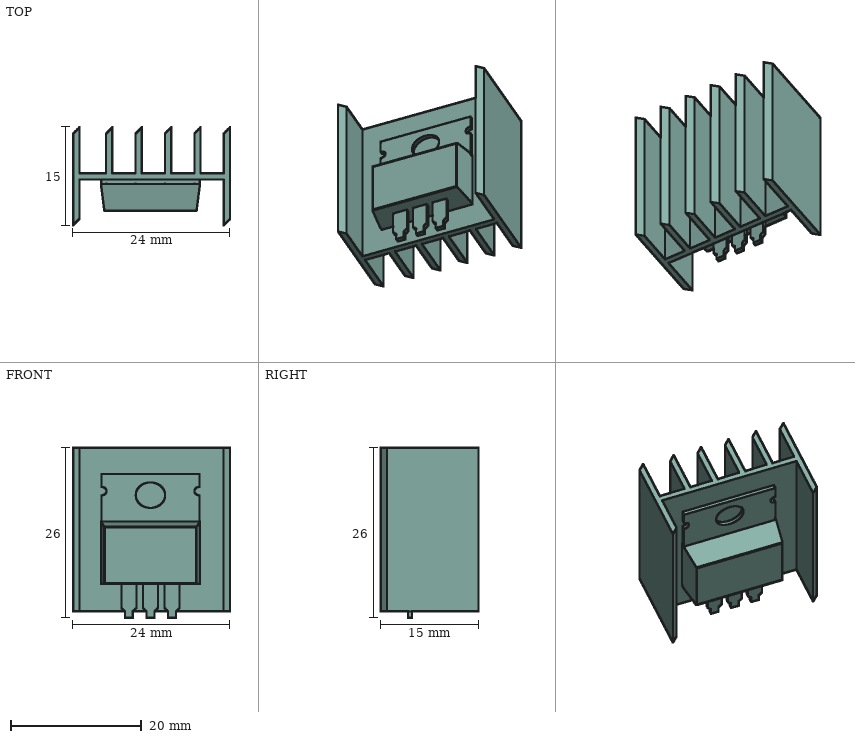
import cadquery as cq


SINK_WIDTH = 24.0
SINK_DEPTH = 15.0
TOTAL_HEIGHT = 26.0
LEAD_OVERHANG = 1.0
WALL = 1.0
FIN_PITCH = 4.5
INNER_FIN_COUNT = 4
PLATE_FRONT = -WALL / 2
PLATE_BACK = WALL / 2

CENTRE_X = -0.18
TAB_WIDTH = 15.0
TAB_THICKNESS = 0.65
TAB_TOP = 22.0
TAB_FRONT = PLATE_FRONT - TAB_THICKNESS
HOLE_WIDTH = 4.5
HOLE_HEIGHT = 3.9
HOLE_Z = 18.75
NOTCH_DEPTH = 0.78
NOTCH_HEIGHT = 1.3
NOTCH_Z = 19.37

BODY_BACK_WIDTH = 15.18
BODY_FRONT_WIDTH = 14.15
BODY_BACK_BOTTOM = 5.15
BODY_BACK_TOP = 14.7
BODY_FRONT_BOTTOM = 5.25
BODY_FRONT_TOP = 13.94
BODY_DEPTH = 4.8
PAD_STEP = 0.1
PAD_FRONT = PLATE_FRONT - BODY_DEPTH
BODY_FRONT = PAD_FRONT + PAD_STEP

LEAD_PITCH = 3.3
LEAD_COUNT = 3
LEAD_WIDTH = 2.3
LEAD_TIP_WIDTH = 1.25
LEAD_THICKNESS = 0.65
LEAD_GAP = 2.18
SHOULDER_HEIGHT = 0.52
LEAD_INSERTION = 1.3


def box(x_min, x_max, y_min, y_max, z_min, z_max):
    size = (x_max - x_min, y_max - y_min, z_max - z_min)
    return cq.Workplane("XY").box(*size, centered=False).translate((x_min, y_min, z_min))


def facing_plane(y):
    """Workplane at depth y, centred on the transistor, with local y along Z and normal toward -Y."""
    return cq.Workplane("XZ", origin=(CENTRE_X, y, 0))


def fin(left, front_left, back_right):
    """Full-height fin with 45 degree ends, its +X side shifted toward +Y."""
    right = left + WALL
    outline = [
        (left, front_left),
        (right, front_left + WALL),
        (right, back_right),
        (left, back_right - WALL),
    ]
    height = TOTAL_HEIGHT - LEAD_OVERHANG
    return cq.Workplane("XY", origin=(0, 0, LEAD_OVERHANG)).polyline(outline).close().extrude(height)


def heat_sink():
    left_fin = -SINK_WIDTH / 2
    right_fin = SINK_WIDTH / 2 - WALL
    front = -SINK_DEPTH / 2
    back = SINK_DEPTH / 2
    plate_left = left_fin + WALL / 2
    plate_right = right_fin + WALL / 2
    sink = box(plate_left, plate_right, PLATE_FRONT, PLATE_BACK, LEAD_OVERHANG, TOTAL_HEIGHT)
    for left in (left_fin, right_fin):
        sink = sink.union(fin(left, front, back))
    for index in range(1, INNER_FIN_COUNT + 1):
        sink = sink.union(fin(right_fin - index * FIN_PITCH, PLATE_FRONT, back))
    return sink


def tab():
    left = CENTRE_X - TAB_WIDTH / 2
    right = CENTRE_X + TAB_WIDTH / 2
    blank = box(left, right, TAB_FRONT, PLATE_FRONT, BODY_BACK_BOTTOM, TAB_TOP)
    hole = facing_plane(PLATE_FRONT).center(0, HOLE_Z).ellipse(HOLE_WIDTH / 2, HOLE_HEIGHT / 2)
    notches = (
        facing_plane(PLATE_FRONT)
        .pushPoints([(-TAB_WIDTH / 2, NOTCH_Z), (TAB_WIDTH / 2, NOTCH_Z)])
        .ellipse(NOTCH_DEPTH, NOTCH_HEIGHT / 2)
    )
    return blank.cut(hole.extrude(TAB_THICKNESS)).cut(notches.extrude(TAB_THICKNESS))


def body():
    back_height = BODY_BACK_TOP - BODY_BACK_BOTTOM
    back_middle = (BODY_BACK_TOP + BODY_BACK_BOTTOM) / 2
    front_height = BODY_FRONT_TOP - BODY_FRONT_BOTTOM
    front_middle = (BODY_FRONT_TOP + BODY_FRONT_BOTTOM) / 2

    base = (
        facing_plane(PLATE_FRONT)
        .center(0, back_middle)
        .rect(BODY_BACK_WIDTH, back_height)
        .extrude(TAB_THICKNESS)
    )
    taper = (
        facing_plane(TAB_FRONT)
        .center(0, back_middle)
        .rect(BODY_BACK_WIDTH, back_height)
        .workplane(offset=TAB_FRONT - BODY_FRONT)
        .center(0, front_middle - back_middle)
        .rect(BODY_FRONT_WIDTH, front_height)
        .loft(combine=True)
    )
    pad = (
        facing_plane(BODY_FRONT)
        .center(0, front_middle)
        .rect(BODY_FRONT_WIDTH - 2 * PAD_STEP, front_height - 2 * PAD_STEP)
        .extrude(PAD_STEP)
    )
    return base.union(taper).union(pad)


def lead(offset):
    """Flat lead whose width narrows through sloped shoulders to a tip at Z = 0."""
    half_width = LEAD_WIDTH / 2
    half_tip = LEAD_TIP_WIDTH / 2
    shoulder_top = LEAD_OVERHANG + SHOULDER_HEIGHT
    lead_top = BODY_FRONT_BOTTOM + LEAD_INSERTION
    outline = [
        (-half_tip, 0),
        (half_tip, 0),
        (half_tip, LEAD_OVERHANG),
        (half_width, shoulder_top),
        (half_width, lead_top),
        (-half_width, lead_top),
        (-half_width, shoulder_top),
        (-half_tip, LEAD_OVERHANG),
    ]
    profile = facing_plane(PLATE_FRONT - LEAD_GAP).center(offset, 0).polyline(outline).close()
    return profile.extrude(LEAD_THICKNESS)


result = heat_sink().union(tab()).union(body())
for lead_index in range(LEAD_COUNT):
    result = result.union(lead((lead_index - (LEAD_COUNT - 1) / 2) * LEAD_PITCH))